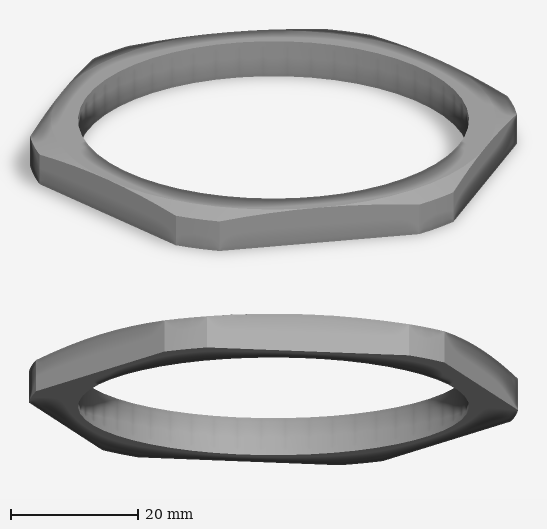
import cadquery as cq
import math

corner_diameter = 77.0
across_flats = 70.0
height = 6.0
bore_diameter = 61.4
chamfer_angle = 15.0

corner_radius = corner_diameter / 2
flat_radius = across_flats / 2
chamfer_drop = (corner_radius - flat_radius) * math.tan(math.radians(chamfer_angle))
hexagon_diameter = across_flats / math.cos(math.radians(30))


def hexagon_prism():
    """Hexagon with corners on X and flats facing +Y and -Y."""
    return cq.Workplane("XY").polygon(6, hexagon_diameter).extrude(height)


def chamfered_disc():
    """Turned envelope with a conical chamfer around its top face."""
    profile = (
        cq.Workplane("XZ")
        .lineTo(corner_radius, 0)
        .lineTo(corner_radius, height - chamfer_drop)
        .lineTo(flat_radius, height)
        .lineTo(0, height)
        .close()
    )
    return profile.revolve(360, (0, 0, 0), (0, 1, 0))


def bore():
    """Cylinder that opens the ring from bottom to top."""
    return cq.Workplane("XY").circle(bore_diameter / 2).extrude(height)


result = hexagon_prism().intersect(chamfered_disc()).cut(bore())